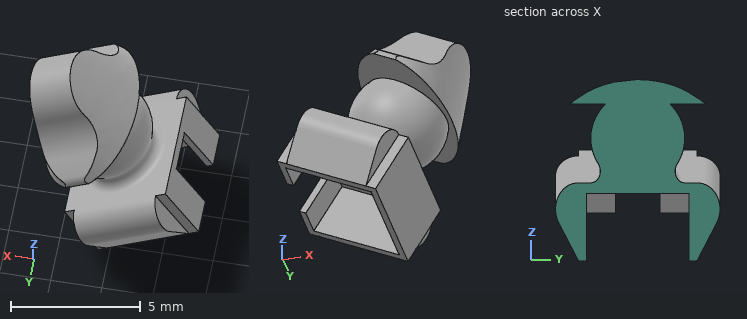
import cadquery as cq
import math

LEAN_ANGLE = 30

BASE_SIDE = 4.57
BASE_HEIGHT = 2.63
WALL = 0.31
CAVITY_DEPTH = 2.26
SLOT_WIDTH = 1.71

EAR_LENGTH = 3.68
EAR_RADIUS = 0.89

BALL_RADIUS = 1.96
BALL_CENTER_Z = BASE_HEIGHT + 1.835
NECK_FOOT_RADIUS = 1.83
NECK_FILLET = 0.37

HAT_BOTTOM_Z = 5.25
HAT_TOP_Z = 8.45
RIM_HALF_WIDTH = 3.25
CROWN_SIDE = (1.48, 7.235)
BRIM_START = (2.41, 5.99)
BRIM_END = (3.09, 5.58)
TAPER_BOTTOM_X = 2.05
TAPER_BOTTOM_Y = 3.37
TAPER_TOP_X = 0.91
TAPER_TOP_Y = 2.23


def make_base():
    """Box open at the bottom, with a slot through its -X wall."""
    cavity_side = BASE_SIDE - 2 * WALL
    box = cq.Workplane("XY").rect(BASE_SIDE, BASE_SIDE).extrude(BASE_HEIGHT)
    cavity = cq.Workplane("XY").rect(cavity_side, cavity_side).extrude(CAVITY_DEPTH)
    slot = (
        cq.Workplane("XY")
        .center(-BASE_SIDE / 4, 0)
        .rect(BASE_SIDE / 2, SLOT_WIDTH)
        .extrude(CAVITY_DEPTH)
    )
    return box.cut(cavity).cut(slot)


def make_ear():
    """Ear on the +Y side: quarter round at the top, tangent slope to the bottom edge."""
    side = BASE_SIDE / 2
    center_z = BASE_HEIGHT - EAR_RADIUS
    sine = EAR_RADIUS / center_z
    cosine = math.sqrt(1 - sine**2)
    tangent_point = (side + EAR_RADIUS * cosine, center_z - EAR_RADIUS * sine)
    return (
        cq.Workplane("YZ")
        .moveTo(side, 0)
        .lineTo(*tangent_point)
        .threePointArc((side + EAR_RADIUS * sine, center_z + EAR_RADIUS * cosine), (side, BASE_HEIGHT))
        .close()
        .extrude(EAR_LENGTH / 2, both=True)
    )


def make_neck():
    """Revolved neck whose concave arc is tangent to the base and to the ball."""
    rise = BALL_CENTER_Z - BASE_HEIGHT - NECK_FILLET
    reach = math.hypot(NECK_FOOT_RADIUS, rise)
    contact_radius = NECK_FOOT_RADIUS * BALL_RADIUS / reach
    contact_z = BALL_CENTER_Z - rise * BALL_RADIUS / reach
    waist = (NECK_FOOT_RADIUS - NECK_FILLET, BASE_HEIGHT + NECK_FILLET)
    return (
        cq.Workplane("XZ")
        .moveTo(0, CAVITY_DEPTH)
        .lineTo(NECK_FOOT_RADIUS, CAVITY_DEPTH)
        .lineTo(NECK_FOOT_RADIUS, BASE_HEIGHT)
        .threePointArc(waist, (contact_radius, contact_z))
        .lineTo(0, contact_z)
        .close()
        .revolve(360, (0, 0, 0), (0, 1, 0))
    )


def make_ball():
    """Ball centered on the axis, sunk slightly into the roof of the base."""
    ball = cq.Workplane("XY").sphere(BALL_RADIUS)
    return ball.translate((0, 0, BALL_CENTER_Z))


def make_hat():
    """Bell-shaped prism along X, trimmed by the elliptical taper."""
    side_y, side_z = CROWN_SIDE
    drop = HAT_TOP_Z - side_z
    crown_radius = (side_y**2 + drop**2) / (2 * drop)
    half_sweep = math.atan2(drop, side_y)
    crown_middle = (
        crown_radius * math.sin(half_sweep),
        HAT_TOP_Z - crown_radius * (1 - math.cos(half_sweep)),
    )
    half_bell = (
        cq.Workplane("YZ")
        .moveTo(0, HAT_BOTTOM_Z)
        .lineTo(0, HAT_TOP_Z)
        .threePointArc(crown_middle, CROWN_SIDE)
        .tangentArcPoint(BRIM_START, relative=False)
        .tangentArcPoint(BRIM_END, relative=False)
        .tangentArcPoint((RIM_HALF_WIDTH, HAT_BOTTOM_Z), relative=False)
        .close()
        .extrude(TAPER_BOTTOM_X, both=True)
    )
    bell = half_bell.union(half_bell.mirror("XZ"))
    taper = (
        cq.Workplane("XY", origin=(0, 0, HAT_BOTTOM_Z))
        .ellipse(TAPER_BOTTOM_X, TAPER_BOTTOM_Y)
        .workplane(offset=HAT_TOP_Z - HAT_BOTTOM_Z)
        .ellipse(TAPER_TOP_X, TAPER_TOP_Y)
        .loft(ruled=True)
    )
    return bell.intersect(taper)


ear = make_ear()
upright = make_base().union(ear).union(ear.mirror("XZ"))
upright = upright.union(make_neck()).union(make_ball()).union(make_hat())
result = upright.rotate((0, 0, 0), (0, 1, 0), LEAN_ANGLE)